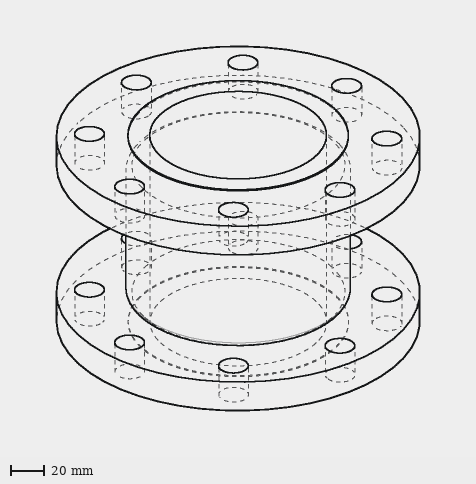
import cadquery as cq

total_height = 130.0
flange_diameter = 220.0
flange_thickness = 20.0
raised_face_diameter = 133.5
raised_face_height = 0.75
bore_diameter = 107.0
body_diameter = 136.0
body_edge_radius = 3.5
bolt_circle_diameter = 180.0
bolt_hole_diameter = 18.0
bolt_count = 8

flange_outer_z = total_height / 2 - raised_face_height
flange_inner_z = flange_outer_z - flange_thickness
bolt_pitch_angle = 360.0 / bolt_count


def cylinder(diameter, bottom_z, top_z):
    """Solid cylinder on the Z axis between two heights."""
    return cq.Workplane("XY").workplane(offset=bottom_z).circle(diameter / 2).extrude(top_z - bottom_z)


def make_body():
    """Central barrel with rounded ends that butt against the flanges."""
    barrel = cylinder(body_diameter, -flange_inner_z, flange_inner_z)
    return barrel.edges().fillet(body_edge_radius)


def make_bolt_holes():
    """Ring of through holes straddling the X and Y axes."""
    return (
        cq.Workplane("XY")
        .workplane(offset=-total_height / 2)
        .polarArray(bolt_circle_diameter / 2, bolt_pitch_angle / 2, 360, bolt_count)
        .circle(bolt_hole_diameter / 2)
        .extrude(total_height)
    )


def make_flanges():
    """Top and bottom flange discs."""
    top_flange = cylinder(flange_diameter, flange_inner_z, flange_outer_z)
    bottom_flange = cylinder(flange_diameter, -flange_outer_z, -flange_inner_z)
    return top_flange.union(bottom_flange)


def make_raised_faces():
    """Thin sealing faces standing proud of both flanges."""
    top_face = cylinder(raised_face_diameter, flange_outer_z, total_height / 2)
    bottom_face = cylinder(raised_face_diameter, -total_height / 2, -flange_outer_z)
    return top_face.union(bottom_face)


bore = cylinder(bore_diameter, -total_height / 2, total_height / 2)

result = (
    make_body()
    .union(make_flanges())
    .union(make_raised_faces())
    .cut(make_bolt_holes())
    .cut(bore)
)